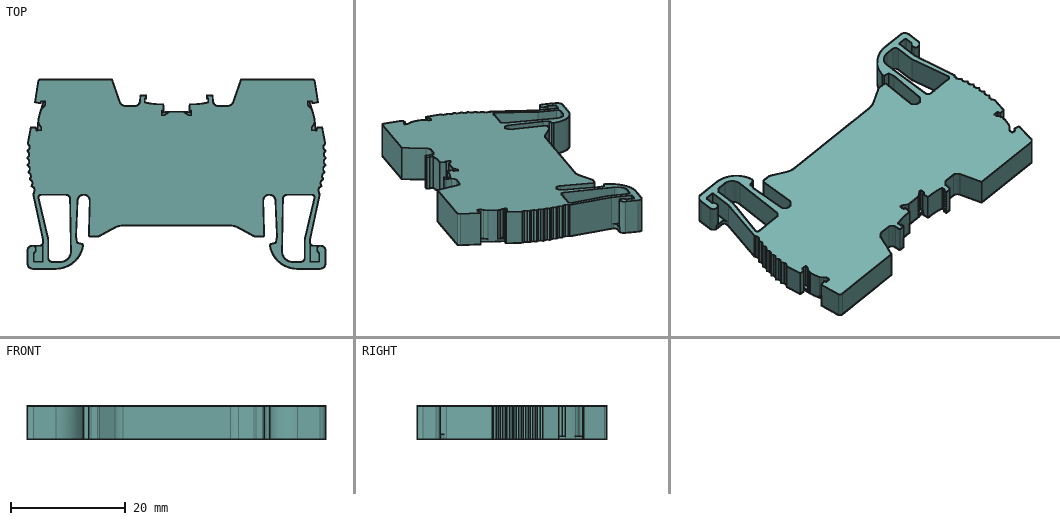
import cadquery as cq
import math

thickness = 5.8
height = 33.0
half_length = 26.0

relief_floor = 0.5
gusset_floor = 0.9

rib_height = 0.3
rib_width = 0.8
rib_count = 7
rib_pitch = 1.215
grip_radius = 17.7
grip_center_x = half_length - rib_height - grip_radius
grip_center_y = 19.55
first_rib_angle = 3.2
rib_step = math.degrees(rib_pitch / grip_radius)
last_rib_angle = first_rib_angle - (rib_count - 1) * rib_step
grip_start_angle = 6.0

foot_wall_x = 25.95
leg_outer_x = 23.25
leg_knee_y = 5.05
hook_top = 4.05
foot_floor = 1.25
heel_radius = 4.9
heel_center_x = 21.05

slot_top = 12.9
skirt_bottom = 5.6
belly = 7.55
crown = 27.4
end_recess_top = 29.15
end_recess_bottom = 24.15
crown_recess_x = 2.55

face_top = (23.65, 27.5)
face_mid = (23.9, 26.6)
face_bottom = (24.1, 25.8)


def polar_point(center_x, center_y, radius, angle):
    """Point on a circle, angle in degrees from +X."""
    turn = math.radians(angle)
    return (center_x + radius * math.cos(turn), center_y + radius * math.sin(turn))


def grip_point(angle, radius=grip_radius):
    """Point on the grip arc, or on a circle concentric with it."""
    return polar_point(grip_center_x, grip_center_y, radius, angle)


def heel_point(angle):
    """Point on the rounded heel of the foot."""
    return polar_point(heel_center_x, heel_radius, heel_radius, angle)


def round_corner(body, corner, radius):
    """Fillet the upright edge of the body standing at an outline corner."""
    x, y = corner
    reach = 0.025
    box = cq.selectors.BoxSelector((x - reach, y - reach, -0.5), (x + reach, y + reach, thickness + 0.5), True)
    return body.edges("|Z").edges(box).fillet(radius)


def half_body():
    """Full-thickness half outline; the relief recesses are open right through."""
    valley_outer = (9.6, 28.4)
    valley_inner = (6.45, 28.4)
    post_tip = (6.3, 30.2)
    shoulder = (24.0, height)
    belly_corner = (10.1, belly)
    slot_outer = (17.15, slot_top)
    slot_inner = (15.1, slot_top)
    skirt_inner = (15.3, skirt_bottom)
    skirt_outer = (13.6, skirt_bottom)
    hook_outer = (foot_wall_x, hook_top)
    hook_inner = (24.5, hook_top)
    hook_bead = (24.5, 3.1)
    hook_root = (24.85, foot_floor)
    foot_corner = (foot_wall_x, 0)

    body = (
        cq.Workplane("XY")
        .moveTo(0, belly)
        .lineTo(0, crown)
        .lineTo(1.2, crown)
        .lineTo(2.2, 26.75)
        .lineTo(crown_recess_x, 26.75)
        .lineTo(crown_recess_x, 27.55)
        .lineTo(2.2, 27.55)
        .lineTo(2.3, 28.7)
        .threePointArc((4.05, 28.75), (5.5, 29.0))
        .lineTo(5.5, 29.65)
        .lineTo(5.3, 29.65)
        .lineTo(5.3, 30.2)
        .lineTo(*post_tip)
        .lineTo(*valley_inner)
        .lineTo(*valley_outer)
        .lineTo(11.25, height)
        .lineTo(*shoulder)
        .lineTo(24.65, 29.0)
        .lineTo(23.65, 28.8)
        .lineTo(23.55, end_recess_top)
        .lineTo(22.85, end_recess_top)
        .lineTo(22.85, 28.8)
        .threePointArc((22.95, 28.45), (23.2, 28.15))
        .threePointArc((23.5, 27.8), face_top)
        .threePointArc(face_mid, face_bottom)
        .lineTo(23.95, 25.25)
        .lineTo(23.55, 24.65)
        .lineTo(23.55, end_recess_bottom)
        .lineTo(24.35, end_recess_bottom)
        .lineTo(24.5, 24.65)
        .lineTo(25.4, 24.65)
        .lineTo(25.9, 21.85)
        .lineTo(*grip_point(grip_start_angle))
        .threePointArc(grip_point(first_rib_angle - 2 * rib_step), grip_point(last_rib_angle))
        .lineTo(24.95, 13.05)
        .lineTo(leg_outer_x, leg_knee_y)
        .lineTo(leg_outer_x, foot_floor)
        .lineTo(*hook_root)
        .lineTo(24.85, 2.7)
        .lineTo(*hook_bead)
        .lineTo(*hook_inner)
        .lineTo(*hook_outer)
        .lineTo(*foot_corner)
        .lineTo(heel_center_x, 0)
        .threePointArc(heel_point(-130), heel_point(-170))
        .lineTo(16.4, 4.35)
        .lineTo(17.25, 4.6)
        .lineTo(17.45, 5.6)
        .lineTo(*slot_outer)
        .lineTo(*slot_inner)
        .lineTo(*skirt_inner)
        .lineTo(*skirt_outer)
        .lineTo(*belly_corner)
        .close()
        .extrude(thickness)
    )
    corner_radii = [
        (valley_outer, 1.05),
        (valley_inner, 0.85),
        (post_tip, 0.15),
        (shoulder, 0.5),
        (belly_corner, 2.85),
        (slot_outer, 1.0),
        (slot_inner, 1.0),
        (skirt_inner, 0.3),
        (skirt_outer, 0.7),
        (hook_outer, 0.85),
        (hook_bead, 0.3),
        (hook_root, 0.2),
        (hook_inner, 0.45),
        (foot_corner, 1.0),
    ]
    for corner, radius in corner_radii:
        body = round_corner(body, corner, radius)
    return body


def foot_window():
    """Opening through the foot between the sloping outer leg and the inner leg."""
    corner_radii = [
        ((24.15, slot_top), 0.4),
        ((18.55, slot_top), 0.7),
        ((18.35, foot_floor), 1.8),
        ((22.3, foot_floor), 0.7),
    ]
    corners = [corner for corner, radius in corner_radii]
    knee = (22.3, 5.2)
    window = cq.Workplane("XY").polyline(corners + [knee]).close().extrude(thickness)
    for corner, radius in corner_radii:
        window = round_corner(window, corner, radius)
    return window


def grip_ribs():
    """Pointed ribs standing on the grip arc."""
    half_angle = math.degrees(rib_width / 2 / grip_radius)
    ribs = cq.Workplane("XY")
    for i in range(rib_count):
        angle = first_rib_angle - i * rib_step
        tooth = [
            grip_point(angle - half_angle),
            grip_point(angle, grip_radius + rib_height),
            grip_point(angle + half_angle),
            grip_point(angle, grip_radius - rib_height),
        ]
        ribs = ribs.polyline(tooth).close()
    return ribs.extrude(thickness)


def end_recess_web():
    """Thin web behind the end-face recess, with a gently curved outer edge."""
    inner_x = 22.35
    return (
        cq.Workplane("XY")
        .moveTo(inner_x, end_recess_top)
        .lineTo(23.15, end_recess_top)
        .lineTo(*face_top)
        .threePointArc(face_mid, face_bottom)
        .lineTo(24.25, end_recess_bottom)
        .lineTo(inner_x, end_recess_bottom)
        .close()
        .extrude(relief_floor)
    )


def crown_recess_web():
    """Thin web under the small recess beside the crown."""
    buried_y = 26.5
    return (
        cq.Workplane("XY")
        .moveTo(1.2, crown)
        .lineTo(1.2, buried_y)
        .lineTo(crown_recess_x, buried_y)
        .lineTo(crown_recess_x, 27.25)
        .lineTo(1.4, crown)
        .close()
        .extrude(relief_floor)
    )


def hook_gusset():
    """Thin web tying the hook to the outer leg, blended into the leg."""
    blend = 0.55
    blend_mid = blend * (1 - math.sqrt(0.5))
    hook_side_x = 25.15
    return (
        cq.Workplane("XY")
        .moveTo(leg_outer_x, foot_floor)
        .lineTo(hook_side_x, foot_floor)
        .lineTo(hook_side_x, hook_top)
        .lineTo(leg_outer_x + blend, hook_top)
        .threePointArc(
            (leg_outer_x + blend_mid, hook_top + blend_mid),
            (leg_outer_x, hook_top + blend),
        )
        .close()
        .extrude(gusset_floor)
    )


half = half_body().cut(foot_window())
for detail in (grip_ribs(), end_recess_web(), crown_recess_web(), hook_gusset()):
    half = half.union(detail)

result = half.union(half.mirror("YZ")).clean()